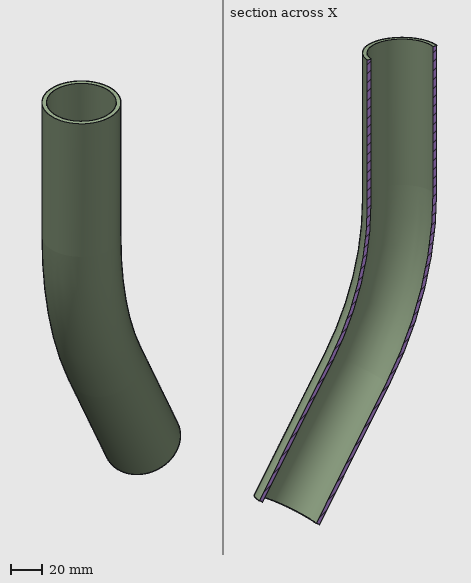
import cadquery as cq
import math

outer_diameter = 50.5
inner_diameter = 44.5
leg_length = 101.5
bend_radius = 228.5
bend_angle = 30.0


def bend_point(angle):
    """Centreline (Y, Z) after turning by angle degrees; the bend starts at the origin."""
    turn = math.radians(angle)
    return bend_radius * (1 - math.cos(turn)), -bend_radius * math.sin(turn)


bend_end = bend_point(bend_angle)
end_direction = math.radians(bend_angle)
lower_end = (
    bend_end[0] + leg_length * math.sin(end_direction),
    bend_end[1] - leg_length * math.cos(end_direction),
)
centreline = (
    cq.Workplane("YZ")
    .moveTo(0, leg_length)
    .lineTo(0, 0)
    .threePointArc(bend_point(bend_angle / 2), bend_end)
    .lineTo(*lower_end)
)

result = (
    cq.Workplane("XY", origin=(0, 0, leg_length))
    .circle(outer_diameter / 2)
    .circle(inner_diameter / 2)
    .sweep(centreline)
)